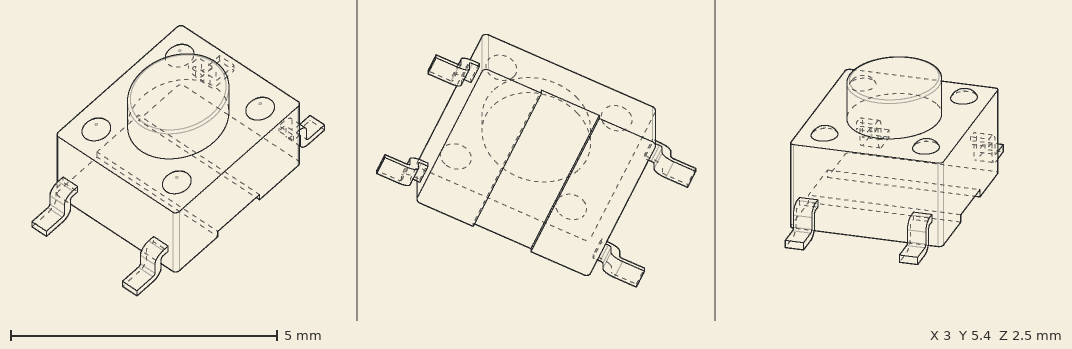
import cadquery as cq
import math

stretch_y = 1.2
overall_length = 5.4
leg_span = overall_length / stretch_y

body_side = 3.0
body_height = 1.72
corner_radius = 0.08
channel_width = 1.0
channel_depth = 0.15

button_diameter = 1.75
button_top = 2.5
button_edge_radius = 0.05

rivet_spacing = 2.0
rivet_radius = 0.25
rivet_height = 0.15
rivet_flat_radius = 0.02

leg_spacing = 2.245
leg_width = 0.36
leg_thickness = 0.15
leg_top = 0.65
shank_outer_y = 1.82
inner_bend_radius = 0.05
outer_bend_radius = inner_bend_radius + leg_thickness


def make_body():
    """Block with rounded upright edges and a channel across its underside."""
    block = cq.Workplane("XY").rect(body_side, body_side).extrude(body_height)
    block = block.edges("|Z").fillet(corner_radius)
    channel = cq.Workplane("XY").rect(body_side, channel_width).extrude(channel_depth)
    return block.cut(channel)


def make_button():
    """Round button rising from the top of the body."""
    button = cq.Workplane("XY").workplane(offset=body_height)
    button = button.circle(button_diameter / 2).extrude(button_top - body_height)
    return button.faces(">Z").edges().fillet(button_edge_radius)


def make_rivet():
    """Domed head with a tiny flat at its crown, standing on Z = 0."""
    reach = rivet_radius - rivet_flat_radius
    arc_radius = (reach**2 + rivet_height**2) / (2 * rivet_height)
    half_angle = math.asin(reach / arc_radius) / 2
    arc_middle = (
        rivet_flat_radius + arc_radius * math.sin(half_angle),
        rivet_height - arc_radius * (1 - math.cos(half_angle)),
    )
    return (
        cq.Workplane("XZ")
        .lineTo(rivet_radius, 0)
        .threePointArc(arc_middle, (rivet_flat_radius, rivet_height))
        .lineTo(0, rivet_height)
        .close()
        .revolve(360, (0, 0), (0, 1))
    )


def make_leg():
    """Bent strip leaving the +Y side of the body, centred on X = 0."""
    body_face_y = body_side / 2
    shank_inner_y = shank_outer_y - leg_thickness
    leg = (
        cq.Workplane("YZ", origin=(-leg_width / 2, 0, 0))
        .moveTo(body_face_y, leg_top)
        .lineTo(shank_outer_y, leg_top)
        .lineTo(shank_outer_y, leg_thickness)
        .lineTo(leg_span / 2, leg_thickness)
        .lineTo(leg_span / 2, 0)
        .lineTo(shank_inner_y, 0)
        .lineTo(shank_inner_y, leg_top - leg_thickness)
        .lineTo(body_face_y, leg_top - leg_thickness)
        .close()
        .extrude(leg_width)
    )
    outer_bends = [(shank_outer_y, leg_top), (shank_inner_y, 0)]
    inner_bends = [(shank_outer_y, leg_thickness), (shank_inner_y, leg_top - leg_thickness)]
    for bends, radius in ((outer_bends, outer_bend_radius), (inner_bends, inner_bend_radius)):
        for y, z in bends:
            leg = leg.edges(cq.NearestToPointSelector((0, y, z))).fillet(radius)
    return leg


switch = make_body().union(make_button())
rivet = make_rivet()
leg = make_leg()
for x_side in (-1, 1):
    for y_side in (-1, 1):
        rivet_place = (x_side * rivet_spacing / 2, y_side * rivet_spacing / 2, body_height)
        switch = switch.union(rivet.translate(rivet_place))
        side_leg = leg if y_side > 0 else leg.mirror("XZ")
        switch = switch.union(side_leg.translate((x_side * leg_spacing / 2, 0, 0)))

stretch = cq.Matrix([[1, 0, 0, 0], [0, stretch_y, 0, 0], [0, 0, 1, 0]])
result = cq.Workplane(switch.solids().val().transformGeometry(stretch))